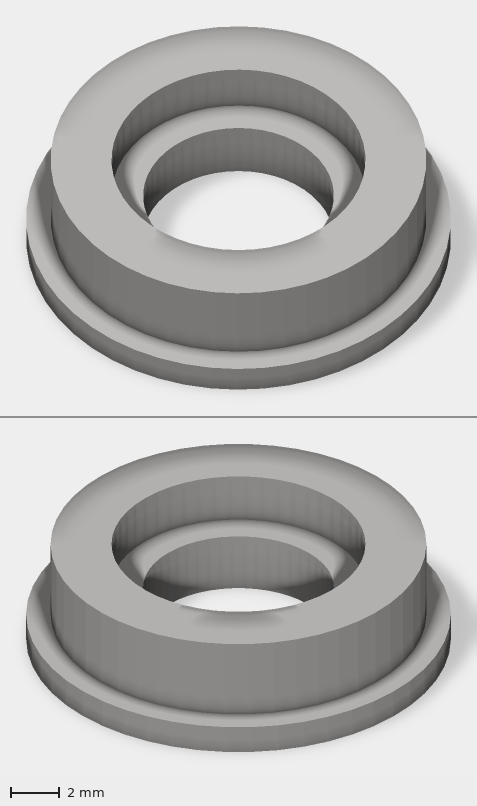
import cadquery as cq

side_count = 50

flange_diameter = 17.4
body_diameter = 15.4
total_height = 4.6
flange_height = 1.2

bore_diameter = 7.81
counterbore_diameter = 10.4
counterbore_depth = 2.09


def faceted_cylinder(diameter, height, base_z=0):
    """Many-sided upright prism centred on the Z axis, standing on base_z."""
    base = cq.Workplane("XY").workplane(offset=base_z)
    return base.polygon(side_count, diameter).extrude(height)


flange = faceted_cylinder(flange_diameter, flange_height)
body = faceted_cylinder(body_diameter, total_height)

bore = faceted_cylinder(bore_diameter, total_height)
counterbore = faceted_cylinder(
    counterbore_diameter, counterbore_depth, base_z=total_height - counterbore_depth
)

result = flange.union(body).cut(bore).cut(counterbore)